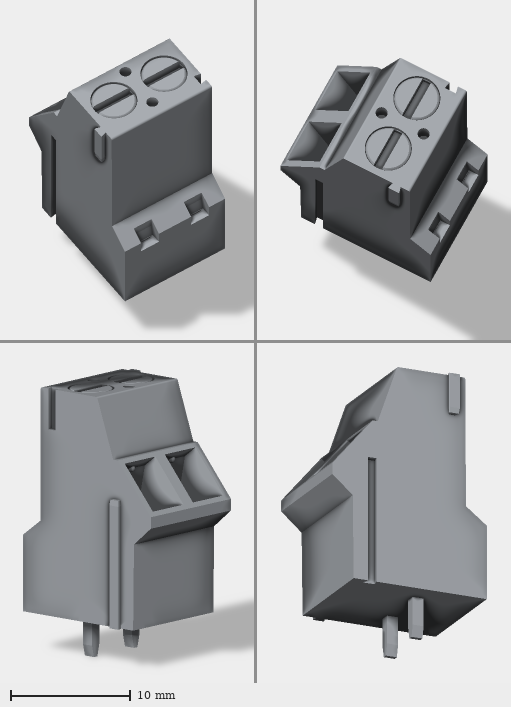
import cadquery as cq
import math


overall_height = 22.9
overall_length = 14.25
overall_width = 11.3

pole_pitch = 5.08
pole_count = 2
pole_positions = [(i - (pole_count - 1) / 2) * pole_pitch for i in range(pole_count)]

housing_width = pole_count * pole_pitch
half_width = housing_width / 2
housing_height = 19.42
base_front_x = 1.97
overhang_x = 1.88
overhang_z = 7.37
nose_bottom_z = 8.98
nose_top_z = 9.96
shoulder_front_x = 3.7
shoulder_back_x = 4.2
shoulder_z = 14.31
top_front_x = 5.98
top_back_x = 12.27
ledge_top_x = 12.32
ledge_top_z = 8.0
ledge_bottom_z = 6.55
top_edge_radius = 0.18

nose_angle = math.degrees(math.atan2(shoulder_z - nose_top_z, shoulder_front_x))
entry_width = 3.9
entry_inner_width = 2.8
entry_start = 0.45
entry_length = 4.83
entry_depth = 2.98
entry_roof_depth = 1.28
entry_floor_length = 3.15
screw_tip_radius = 0.32

screw_x = 8.89
screw_hole_diameter = 3.95
screw_diameter = 3.8
screw_chamfer = 0.15
screw_slot_width = 0.8
screw_slot_depth = 0.92
screw_gap_depth = 0.45

test_hole_diameter = 1.0
test_hole_offset = 2.0
test_hole_depth = 1.83

pin_length_x = 1.0
pin_width = 0.92
pin_tip_width = 0.44
pin_taper_height = 1.0
pin_bottom_z = housing_height - overall_height

rib_height = (overall_width - housing_width) / 2
rib_root_width = 0.73
rib_outer_width = 1.03
rib_end_taper_height = 0.48
rib_end_taper = 0.07
rib_bevel_width = 0.05
rib_bevel_height = 0.07
groove_depth = 0.65
groove_mouth_width = 0.78
groove_inner_width = 1.05
front_joint_x = 3.66
front_joint_height = 11.0
back_joint_x = 11.04
back_joint_bottom_z = 15.92

notch_width = 1.8
notch_top_x = 13.15
notch_floor_x = 13.33
notch_floor_z = 5.5
recess_start_x = 13.37
recess_length = 0.25
recess_width = 1.55
recess_depth = 0.14


def make_housing():
    return (
        cq.Workplane("XZ")
        .moveTo(base_front_x, 0)
        .lineTo(overhang_x, overhang_z)
        .lineTo(0, nose_bottom_z)
        .lineTo(0, nose_top_z)
        .lineTo(shoulder_front_x, shoulder_z)
        .lineTo(shoulder_back_x, shoulder_z)
        .lineTo(top_front_x, housing_height)
        .lineTo(top_back_x, housing_height)
        .lineTo(ledge_top_x, ledge_top_z)
        .lineTo(overall_length, ledge_bottom_z)
        .lineTo(overall_length, 0)
        .close()
        .extrude(half_width, both=True)
        .faces(">Z")
        .edges("|Y")
        .fillet(top_edge_radius)
    )


def make_wire_entry():
    """Tapered pocket around Y = 0."""
    side = (
        cq.Workplane("XZ")
        .moveTo(entry_start, 0)
        .lineTo(entry_start, -entry_depth)
        .lineTo(entry_start + entry_floor_length, -entry_depth)
        .lineTo(entry_start + entry_length, -entry_roof_depth)
        .lineTo(entry_start + entry_length, 0)
        .close()
        .extrude(entry_width / 2, both=True)
    )
    taper = (
        cq.Workplane("YZ")
        .moveTo(-entry_width / 2, 0)
        .lineTo(entry_width / 2, 0)
        .lineTo(entry_inner_width / 2, -entry_depth)
        .lineTo(-entry_inner_width / 2, -entry_depth)
        .close()
        .extrude(entry_start + entry_length)
    )
    tip = cq.Workplane("XY").sphere(screw_tip_radius).translate(
        (entry_start + entry_length, 0, -entry_roof_depth)
    )
    pocket = side.intersect(taper).cut(tip)
    return pocket.rotate((0, 0, 0), (0, 1, 0), -nose_angle).translate((0, 0, nose_top_z))


def make_screw_clearance():
    """Room around one screw head and its driver slot."""
    top = cq.Workplane("XY").workplane(offset=housing_height)
    hole = top.circle(screw_hole_diameter / 2).extrude(-screw_gap_depth)
    shank = top.circle(screw_diameter / 2).extrude(-screw_slot_depth)
    head = shank.faces(">Z").chamfer(screw_chamfer)
    slot = top.rect(screw_slot_width, screw_diameter).extrude(-screw_slot_depth).intersect(shank)
    return hole.cut(head).union(slot).translate((screw_x, 0, 0))


def make_pin():
    half_pin = pin_width / 2
    half_tip = pin_tip_width / 2
    return (
        cq.Workplane("YZ")
        .moveTo(-half_pin, 0)
        .lineTo(-half_pin, pin_bottom_z + pin_taper_height)
        .lineTo(-half_tip, pin_bottom_z)
        .lineTo(half_tip, pin_bottom_z)
        .lineTo(half_pin, pin_bottom_z + pin_taper_height)
        .lineTo(half_pin, 0)
        .close()
        .extrude(pin_length_x / 2, both=True)
        .translate((screw_x, 0, 0))
    )


def make_ledge_notch():
    notch = (
        cq.Workplane("XZ")
        .moveTo(notch_floor_x, notch_floor_z)
        .lineTo(overall_length, notch_floor_z)
        .lineTo(overall_length, ledge_top_z)
        .lineTo(notch_top_x, ledge_top_z)
        .lineTo(notch_top_x, ledge_bottom_z)
        .close()
        .extrude(notch_width / 2, both=True)
    )
    back_x = recess_start_x + recess_length
    half_recess = recess_width / 2
    back_wall = (
        cq.Workplane("XZ")
        .moveTo(recess_start_x, notch_floor_z)
        .lineTo(back_x, notch_floor_z)
        .lineTo(recess_start_x, notch_floor_z - recess_depth)
        .close()
        .extrude(half_recess, both=True)
    )
    end_walls = (
        cq.Workplane("YZ", origin=(recess_start_x, 0, 0))
        .moveTo(-half_recess, notch_floor_z)
        .lineTo(half_recess, notch_floor_z)
        .lineTo(half_recess - recess_length, notch_floor_z - recess_depth)
        .lineTo(recess_length - half_recess, notch_floor_z - recess_depth)
        .close()
        .extrude(recess_length)
    )
    return notch.union(back_wall.intersect(end_walls))


def rib_outline(shrink):
    """Points of the rib section, drawn in by `shrink` on its flanks and outer face."""
    half_root = rib_root_width / 2 - shrink
    half_rib = rib_outer_width / 2 - shrink
    reach = rib_height - shrink
    right_side = [
        (half_root, 0),
        (half_rib, reach - rib_bevel_height),
        (half_rib - rib_bevel_width, reach),
    ]
    left_side = [(-x, y) for x, y in reversed(right_side)]
    return right_side + left_side


def make_rib(length):
    """Bevelled dovetail rib along Z whose upper end narrows and thins slightly as a lead-in."""
    taper_start = length - rib_end_taper_height
    straight = cq.Workplane("XY").polyline(rib_outline(0)).close().extrude(taper_start)
    lead_in = (
        cq.Workplane("XY", origin=(0, 0, taper_start))
        .polyline(rib_outline(0))
        .close()
        .workplane(offset=rib_end_taper_height)
        .polyline(rib_outline(rib_end_taper))
        .close()
        .loft(ruled=True)
    )
    return straight.union(lead_in)


def make_groove(length):
    """Upright dovetail groove, widening towards +Y from its mouth at Y = 0."""
    return (
        cq.Workplane("XY")
        .moveTo(-groove_mouth_width / 2, 0)
        .lineTo(groove_mouth_width / 2, 0)
        .lineTo(groove_inner_width / 2, groove_depth)
        .lineTo(-groove_inner_width / 2, groove_depth)
        .close()
        .extrude(length)
    )


back_joint_length = housing_height - back_joint_bottom_z

result = make_housing()

for pole_y in pole_positions:
    at_pole = (0, pole_y, 0)
    result = result.cut(make_wire_entry().translate(at_pole))
    result = result.cut(make_screw_clearance().translate(at_pole))
    result = result.cut(make_ledge_notch().translate(at_pole))
    result = result.union(make_pin().translate(at_pole))

test_holes = (
    cq.Workplane("XY", origin=(screw_x, 0, housing_height))
    .pushPoints([(-test_hole_offset, 0), (test_hole_offset, 0)])
    .circle(test_hole_diameter / 2)
    .extrude(-test_hole_depth)
)
result = result.cut(test_holes)

front_rib = make_rib(front_joint_height).translate((front_joint_x, half_width, 0))
front_groove = make_groove(front_joint_height).translate((front_joint_x, -half_width, 0))

back_rib = (
    make_rib(back_joint_length)
    .rotate((0, 0, 0), (1, 0, 0), 180)
    .translate((back_joint_x, -half_width, housing_height))
)
back_groove = (
    make_groove(back_joint_length)
    .rotate((0, 0, 0), (0, 0, 1), 180)
    .translate((back_joint_x, half_width, back_joint_bottom_z))
)
result = result.union(front_rib).union(back_rib).cut(front_groove).cut(back_groove)